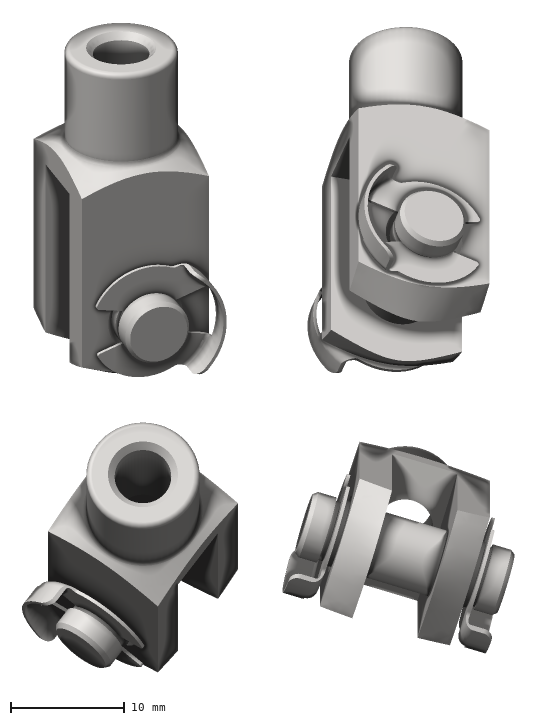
import cadquery as cq
import math


total_height = 31.0
tip_depth = 7.0
fork_width = 12.0
slot_width = 6.0
slot_top = 12.0
neck_diameter = 10.0
neck_top_fillet = 0.5
neck_root_fillet = 0.5
shoulder_height = 14.45
cone_angle = 30.0
bore_diameter = 5.0
bore_chamfer = 0.6
hole_chamfer = 0.5

pin_diameter = 6.0
pin_length = 18.6
pin_chamfer_length = 0.4
pin_chamfer_depth = 0.3
groove_diameter = 5.45
groove_start = 6.5
groove_width = 0.7

clip_end = 9.33
clip_thickness = 0.3
plate_radius = 5.45
overall_depth = 12.4
bend_inner_radius = 0.3
arm_spread = 15.0
arm_half_width = 4.2
window_half_width = 0.93
mouth_half_width = 0.95
arm_root_fillet = 0.62
strap_corner_radius = 0.9
tip_fillet = 0.25
clip_tilt = 1.5

fork_half = fork_width / 2
cone_slope = math.tan(math.radians(cone_angle))
arm_slope = math.tan(math.radians(arm_spread))
neck_top = total_height - tip_depth
strap_radius = overall_depth - fork_half


def make_clevis():
    """Turned outline squared off to the fork section, then slotted and drilled."""
    neck_radius = neck_diameter / 2
    corner_radius = fork_half * math.sqrt(2)
    slot_half = slot_width / 2
    root_height = shoulder_height + (fork_half - neck_radius) * cone_slope
    shoulder_edge = shoulder_height - (corner_radius - fork_half) * cone_slope
    tip_edge = -tip_depth + (corner_radius - slot_half) * cone_slope
    apex = -tip_depth - slot_half * cone_slope

    turned = (
        cq.Workplane("XZ")
        .moveTo(0, apex)
        .lineTo(corner_radius, tip_edge)
        .lineTo(corner_radius, shoulder_edge)
        .lineTo(neck_radius, root_height)
        .lineTo(neck_radius, neck_top)
        .lineTo(0, neck_top)
        .close()
        .revolve(360, (0, 0, 0), (0, 1, 0))
    )
    turned = turned.faces(">Z").edges().fillet(neck_top_fillet)
    neck_root = cq.selectors.NearestToPointSelector((0, 0, root_height))
    turned = turned.edges("%CIRCLE").edges(neck_root).fillet(neck_root_fillet)

    section = cq.Workplane("XY").box(fork_width, fork_width, 2 * total_height)
    clevis = turned.intersect(section)

    slot_height = slot_top - apex
    slot = cq.Workplane("XY").box(slot_width, fork_width, slot_height, centered=(True, True, False))
    clevis = clevis.cut(slot.translate((0, 0, apex)))

    clevis = clevis.faces(">Z").workplane(origin=(0, 0, neck_top)).hole(
        bore_diameter, neck_top - slot_top
    )
    bore_rim = cq.selectors.RadiusNthSelector(0)
    clevis = clevis.faces(">Z").edges(bore_rim).chamfer(bore_chamfer)

    pin_hole = cq.Workplane("YZ").circle(pin_diameter / 2).extrude(fork_half, both=True)
    clevis = clevis.cut(pin_hole)
    return clevis.faces("<X or >X").edges("%CIRCLE").chamfer(hole_chamfer)


def make_pin():
    """Turned pin with chamfered ends and a clip groove near each end."""
    pin = cq.Workplane("YZ").circle(pin_diameter / 2).extrude(pin_length / 2, both=True)
    pin = pin.faces("<X").chamfer(pin_chamfer_length, pin_chamfer_depth)
    pin = pin.faces(">X").chamfer(pin_chamfer_length, pin_chamfer_depth)

    groove = (
        cq.Workplane("YZ", origin=(groove_start, 0, 0))
        .circle(pin_diameter / 2)
        .circle(groove_diameter / 2)
        .extrude(groove_width)
    )
    return pin.cut(groove).cut(groove.mirror("YZ"))


def spreading_prism(half_width, direction, length):
    """Prism along +X whose Z width grows with distance from the pin in the +Y or -Y direction."""
    reach = overall_depth
    end_half_width = half_width + reach * arm_slope
    return (
        cq.Workplane("YZ")
        .polyline([
            (0, -half_width),
            (direction * reach, -end_half_width),
            (direction * reach, end_half_width),
            (0, half_width),
        ])
        .close()
        .extrude(length)
    )


def make_clip():
    """Clip at the +X end: a plate in the groove with two arms bent outwards into a strap."""
    bend_outer_radius = strap_radius - plate_radius
    bend_end = groove_start + bend_outer_radius
    plate_face = groove_start + clip_thickness
    strap_inner = strap_radius - clip_thickness

    cup = (
        cq.Workplane("XY")
        .moveTo(groove_start, 0)
        .lineTo(groove_start, plate_radius)
        .radiusArc((bend_end, strap_radius), bend_outer_radius)
        .lineTo(clip_end, strap_radius)
        .lineTo(clip_end, strap_inner)
        .lineTo(plate_face + bend_inner_radius, strap_inner)
        .radiusArc((plate_face, strap_inner - bend_inner_radius), -bend_inner_radius)
        .lineTo(plate_face, 0)
        .close()
        .revolve(360, (0, 0, 0), (1, 0, 0))
    )

    arms = spreading_prism(arm_half_width, 1, clip_end)
    arms = arms.faces(">X").edges("not |Z").fillet(strap_corner_radius)
    plate = cq.Workplane("YZ").circle(plate_radius).extrude(clip_end)
    outline = plate.union(arms)
    arm_root = cq.selectors.BoxSelector(
        (0, 0, -plate_radius), (clip_end, plate_radius / 2, plate_radius)
    )
    outline = outline.edges("|X").edges(arm_root).fillet(arm_root_fillet)
    clip = cup.intersect(outline)

    clip = clip.cut(cq.Workplane("YZ").circle(groove_diameter / 2).extrude(clip_end))
    clip = clip.cut(spreading_prism(window_half_width, 1, bend_end))
    clip = clip.cut(spreading_prism(mouth_half_width, -1, clip_end))
    clip = clip.edges("|X").edges("<Y").fillet(tip_fillet)
    return clip.rotate((0, 0, 0), (1, 0, 0), clip_tilt)


clevis = make_clevis()
pin = make_pin()
right_clip = make_clip()
clips = [right_clip, right_clip.mirror("YZ")]

result = cq.Compound.makeCompound([clevis.val(), pin.val(), *[clip.val() for clip in clips]])